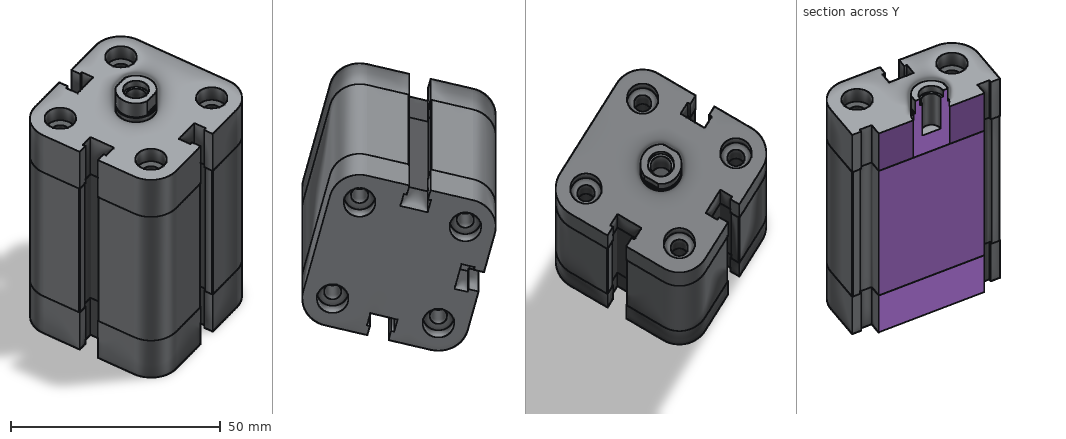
import cadquery as cq

side = 40.5
cap_length = 12.0
tube_length = 40.0
top_cap_base = cap_length + tube_length

hole_spacing = 26.0
hole_diameter = 4.1
counterbore_diameter = 7.5
counterbore_depth = 4.1
corner_radius = (side - hole_spacing) / 2

slot_mouth_width = 5.2
slot_inner_width = 6.7
slot_depth = 5.75
slot_angles = (-90, 0, 90)
cap_slot_lip = 2.5
tube_slot_lip = 2.2
tube_mouth_chamfer = 0.25
tube_slot_fillet = 0.25

rod_diameter = 10.0
rod_tip_diameter = 9.8
rod_projection = 6.0
rod_length = cap_length + rod_projection
rod_cone_top = cap_length + 1.55
rod_cone_height = 0.2
rod_flat_distance = 9.0
rod_flat_length = 4.0
rod_thread_diameter = 5.0
rod_thread_depth = 12.0
rod_recess_diameter = 6.2
rod_recess_depth = 2.0


def t_slot(length, lip):
    """Sharp-edged cutter for a slot on the -Y side, as its mouth and its wider inner channel."""
    face_y = -side / 2
    channel_depth = slot_depth - lip
    mouth = cq.Workplane("XY").center(0, face_y + lip / 2).rect(slot_mouth_width, lip)
    channel = cq.Workplane("XY").center(0, face_y + lip + channel_depth / 2)
    channel = channel.rect(slot_inner_width, channel_depth)
    return mouth.extrude(length), channel.extrude(length)


def cap_slot():
    mouth, channel = t_slot(cap_length, cap_slot_lip)
    return mouth.union(channel)


def tube_slot():
    """Slot cutter with a chamfered mouth and a channel with rounded corners."""
    mouth, channel = t_slot(tube_length, tube_slot_lip)
    face_y = -side / 2
    half_mouth = slot_mouth_width / 2
    flare = (
        cq.Workplane("XY")
        .moveTo(-half_mouth - tube_mouth_chamfer, face_y)
        .lineTo(half_mouth + tube_mouth_chamfer, face_y)
        .lineTo(half_mouth, face_y + tube_mouth_chamfer)
        .lineTo(-half_mouth, face_y + tube_mouth_chamfer)
        .close()
        .extrude(tube_length)
    )
    return mouth.union(flare).union(channel.edges("|Z").fillet(tube_slot_fillet))


def hole_cutters(diameter, base, length):
    """Four cylinders on the mounting-hole pattern, starting at height base."""
    return (
        cq.Workplane("XY", origin=(0, 0, base))
        .rect(hole_spacing, hole_spacing, forConstruction=True)
        .vertices()
        .circle(diameter / 2)
        .extrude(length)
    )


def block(length, slot):
    """Rounded square prism standing on z = 0, with through holes and T-slots."""
    body = cq.Workplane("XY").rect(side, side).extrude(length).edges("|Z").fillet(corner_radius)
    body = body.cut(hole_cutters(hole_diameter, 0, length))
    for angle in slot_angles:
        body = body.cut(slot.rotate((0, 0, 0), (0, 0, 1), angle))
    return body


def end_cap():
    """End cap standing on z = 0, with the counterbores in its top face."""
    counterbores = hole_cutters(counterbore_diameter, cap_length - counterbore_depth, counterbore_depth)
    return block(cap_length, cap_slot()).cut(counterbores)


def make_bottom_cap():
    """End cap turned over, so that its counterbores open downward."""
    return end_cap().mirror("XY").translate((0, 0, cap_length))


def make_tube():
    return block(tube_length, tube_slot()).translate((0, 0, cap_length))


def make_top_cap():
    """End cap bored for the rod."""
    bore = cq.Workplane("XY").circle(rod_diameter / 2).extrude(cap_length)
    return end_cap().cut(bore).translate((0, 0, top_cap_base))


def make_rod():
    """Rod through the top cap: a shank, a short cone and a tip with two flats and a threaded hole."""
    rod = (
        cq.Workplane("XZ")
        .lineTo(rod_diameter / 2, 0)
        .lineTo(rod_diameter / 2, rod_cone_top - rod_cone_height)
        .lineTo(rod_tip_diameter / 2, rod_cone_top)
        .lineTo(rod_tip_diameter / 2, rod_length)
        .lineTo(0, rod_length)
        .close()
        .revolve(360, (0, 0), (0, 1))
    )
    outside_flats = (
        cq.Workplane("XY", origin=(0, 0, rod_length - rod_flat_length))
        .rect(2 * rod_diameter, 2 * rod_diameter)
        .extrude(rod_flat_length)
        .cut(cq.Workplane("XY").rect(rod_flat_distance, 2 * rod_diameter).extrude(rod_length))
    )
    rod = rod.cut(outside_flats)
    rod = rod.faces(">Z").workplane(origin=(0, 0, 0)).cboreHole(
        rod_thread_diameter, rod_recess_diameter, rod_recess_depth, rod_thread_depth
    )
    return rod.translate((0, 0, top_cap_base))


bottom_cap = make_bottom_cap()
tube = make_tube()
top_cap = make_top_cap()
rod = make_rod()

result = cq.Compound.makeCompound([bottom_cap.val(), tube.val(), top_cap.val(), rod.val()])